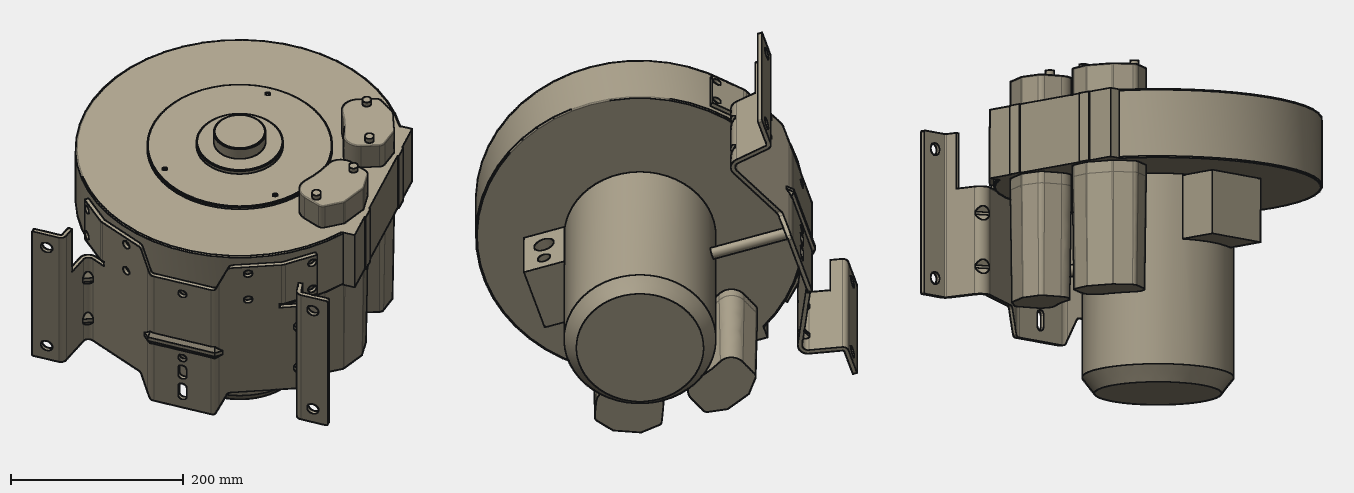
import cadquery as cq
import math


motor_radius = 88.0
motor_base_radius = 73.5
motor_cone_height = 18.5
drum_radius = 190.0
drum_bottom = 242.5
drum_top = 323.5
drum_edge_round = 1.5
cover_radius = 107.3
cover_top = 327.5
hub_radius = 50.3
hub_top = 333.0
knob_radius = 30.0
knob_top = 348.8
turned_edge_break = 1.0
cover_hole_circle = 96.0
cover_hole_radius = 2.8
cover_hole_depth = 2.0
cover_hole_angles = (90, 225, 315)

port_block_end = 176.5
port_block_width = 197.0
port_pad_width = 15.5
port_pad_thickness = 1.5
port_pad_offset = 56.5

silencer_angle = 22.5
silencer_width = 81.5
silencer_waist_radius = 120.7
silencer_corner_radius = 19.0
silencer_back = 178.0
silencer_back_width = 33.3
silencer_shoulder = 164.0
silencer_shoulder_round = 8.0
silencer_back_round = 3.0
silencer_top = 357.0
silencer_top_round = 1.0
neck_height = 13.0
silencer_bottom = 97.5
silencer_draft = 0.8
bolt_circle = 152.0
bolt_angle = 12.1
bolt_radius = 5.0
bolt_top = 363.5

box_length = 79.0
box_inner_y = 79.5
box_outer_y = 128.3
box_bottom = 166.3
box_top = 241.0
entry_depth = 16.0
entry_point_angle = 118
large_entry_radius = 12.0
large_entry_z = 214.5
small_entry_radius = 7.5
small_entry_z = 185.5
standoff_radius = 6.7
standoff_z = 162.7

sheet = 5.0
arm_angle = 25.0
tab_angle = 44.0
leg_angle = -78.5
tongue_distance = 191.5
leg_distance = -104.0
foot_face_y = -206.0
foot_end_x = 181.7
tongue_bend_radius = 16.2
hump_bend_radius = 6.7
tab_bend_radius = 9.5
foot_bend_radius = 2.0
tab_end = 10.3

arm_bottom = 120.0
arm_top = 312.0
tongue_drop = 33.5
tongue_corner_x = 39.5
arm_corner_x = 54.0
tongue_corner_round = 4.8
foot_corner_round = 2.0

relief_bottom = 246.2
tab_bottom = 251.8
relief_start_x = 107.5
relief_leg_shift = 210.5

fixing_hole_radius = 5.0
fixing_hole_heights = (261.5, 301.5)
arm_hole_shift = -8.5
tab_hole_shift = 4.0
foot_hole_radius = 7.0
foot_hole_x = 163.5
foot_hole_heights = (140.5, 292.0)
tongue_slots = ((99.0, 123.0), (130.5, 151.2))

bead_crest_width = 5.5
bead_spread = 1.8
rib_z = 182.5
rib_height = 3.0
rib_crest_half_length = 41.0
rib_end_slope = 45
rib_embed = 4.5
dimple_height = 3.75
dimple_half_length = 8.0
dimple_heights = (152.0, 215.0)
groove_crest_width = 3.0


def disc(radius, bottom, top):
    return cq.Workplane("XY").workplane(offset=bottom).circle(radius).extrude(top - bottom)


def block(x_min, x_max, y_min, y_max, z_min, z_max):
    size = (x_max - x_min, y_max - y_min, z_max - z_min)
    return cq.Workplane("XY").box(*size, centered=False).translate((x_min, y_min, z_min))


def drum():
    """Round drum cut flat on the +X side, where the port block squares it off."""
    half = port_block_width / 2
    round_part = disc(drum_radius, drum_bottom, drum_top).edges().fillet(drum_edge_round)
    limit = block(-drum_radius, port_block_end, -drum_radius, drum_radius, drum_bottom, drum_top)
    port_block = block(0, port_block_end, -half, half, drum_bottom, drum_top)
    return round_part.intersect(limit).union(port_block)


def capped_disc(radius, bottom, top):
    return disc(radius, bottom, top).faces(">Z").edges().chamfer(turned_edge_break)


def turned_parts():
    cone = cq.Solid.makeCone(motor_base_radius, motor_radius, motor_cone_height)
    body = drum().union(disc(motor_radius, motor_cone_height, drum_bottom)).union(cq.Workplane(cone))
    body = body.union(capped_disc(cover_radius, drum_top, cover_top))
    body = body.union(capped_disc(hub_radius, cover_top, hub_top))
    return body.union(capped_disc(knob_radius, hub_top, knob_top))


def port_pads():
    half = port_pad_width / 2
    pad_end = port_block_end + port_pad_thickness
    pad = block(port_block_end, pad_end, -half, half, drum_bottom, drum_top)
    return pad.translate((0, port_pad_offset, 0)).union(pad.translate((0, -port_pad_offset, 0)))


def cover_holes():
    return (
        cq.Workplane("XY")
        .workplane(offset=cover_top - cover_hole_depth)
        .pushPoints([polar(cover_hole_circle, angle) for angle in cover_hole_angles])
        .circle(cover_hole_radius)
        .extrude(cover_hole_depth)
    )


def polar(radius, angle):
    return radius * math.cos(math.radians(angle)), radius * math.sin(math.radians(angle))


def silencer_outline(z):
    """Bean shape about +X: waist centred on the drum axis, round inner corners, three-sided back."""
    half = silencer_width / 2
    corner_v = half - silencer_corner_radius
    corner_distance = silencer_waist_radius + silencer_corner_radius
    corner_direction = math.degrees(math.asin(corner_v / corner_distance))
    corner_u = polar(corner_distance, corner_direction)[0]
    waist_u, waist_v = polar(silencer_waist_radius, corner_direction)
    middle_direction = (90 + 180 + corner_direction) / 2
    middle_u, middle_v = polar(silencer_corner_radius, middle_direction)
    round_middle = (corner_u + middle_u, corner_v + middle_v)
    back_half = silencer_back_width / 2
    return (
        cq.Workplane("XY")
        .workplane(offset=z)
        .moveTo(waist_u, -waist_v)
        .threePointArc((silencer_waist_radius, 0), (waist_u, waist_v))
        .threePointArc(round_middle, (corner_u, half))
        .lineTo(silencer_shoulder, half)
        .lineTo(silencer_back, back_half)
        .lineTo(silencer_back, -back_half)
        .lineTo(silencer_shoulder, -half)
        .lineTo(corner_u, -half)
        .threePointArc((round_middle[0], -round_middle[1]), (waist_u, -waist_v))
        .close()
    )


def silencer_blank(bottom, top):
    """Straight-walled silencer shape with the edges of its back rounded."""
    blank = silencer_outline(bottom).extrude(top - bottom)
    blank = blank.edges("|Z").edges(">X").fillet(silencer_back_round)
    half = silencer_width / 2
    for v in (-half, half):
        shoulder = cq.selectors.NearestToPointSelector((silencer_shoulder, v, (bottom + top) / 2))
        blank = blank.edges("|Z").edges(shoulder).fillet(silencer_shoulder_round)
    return blank


def upper_silencer():
    body = silencer_blank(drum_top, silencer_top)
    body = body.faces(">Z").edges().fillet(silencer_top_round)
    for angle in (-bolt_angle, bolt_angle):
        u, v = polar(bolt_circle, angle)
        bolt = disc(bolt_radius, silencer_top, bolt_top)
        body = body.union(bolt.translate((u, v, 0)))
    return body


def lower_silencer():
    neck_bottom = drum_bottom - neck_height
    neck = silencer_blank(neck_bottom, drum_bottom)
    return neck.faces("<Z").wires().toPending().workplane().extrude(
        neck_bottom - silencer_bottom, taper=silencer_draft
    )


def terminal_box():
    half = box_length / 2
    box = block(-half, half, box_inner_y, box_outer_y, box_bottom, box_top)
    y = (box_inner_y + box_outer_y) / 2
    for radius, z in ((large_entry_radius, large_entry_z), (small_entry_radius, small_entry_z)):
        tip = radius / math.tan(math.radians(entry_point_angle / 2))
        inward = cq.Vector(1, 0, 0)
        bore = cq.Solid.makeCylinder(radius, entry_depth, cq.Vector(-half, y, z), inward)
        point = cq.Solid.makeCone(radius, 0, tip, cq.Vector(entry_depth - half, y, z), inward)
        box = box.cut(cq.Workplane(bore)).cut(cq.Workplane(point))
    return box


def standoff():
    """Round bar from the motor to the bracket's tongue."""
    return cq.Workplane("XZ").center(0, standoff_z).circle(standoff_radius).extrude(tongue_distance)


def make_blower():
    blower = turned_parts().union(port_pads()).cut(cover_holes())
    for silencer in (upper_silencer(), lower_silencer()):
        for angle in (silencer_angle, -silencer_angle):
            blower = blower.union(silencer.rotate((0, 0, 0), (0, 0, 1), angle))
    return blower.union(terminal_box()).union(standoff())


tongue_flat = (0.0, tongue_distance)
arm_flat = (arm_angle, drum_radius)
tab_flat = (tab_angle, drum_radius)
leg_flat = (leg_angle, leg_distance)
foot_flat = (0.0, -foot_face_y - sheet)


def face_normal(angle):
    return -math.sin(math.radians(angle)), -math.cos(math.radians(angle))


def point_on_flat(flat, depth, shift):
    """Point `depth` into the sheet, `shift` from the foot of the perpendicular, outward positive."""
    angle, distance = flat
    nx, ny = face_normal(angle)
    reach = distance + depth
    return nx * reach + ny * shift, ny * reach - nx * shift


def bend_corner(first, second, depth):
    """Sharp corner of two neighbouring flats, measured at one depth in the sheet."""
    ax, ay = face_normal(first[0])
    bx, by = face_normal(second[0])
    a = first[1] + depth
    b = second[1] + depth
    det = ax * by - ay * bx
    return (a * by - b * ay) / det, (ax * b - bx * a) / det


def bent_sheet(flats, radii, start, end, bottom, top):
    """Strip through the flats; `start` and `end` are the (near, far) points that close it."""
    bends = list(zip(flats[:-1], flats[1:], radii))
    near = [bend_corner(a, b, 0) for a, b, _ in bends]
    far = [bend_corner(a, b, sheet) for a, b, _ in bends]
    outline = [start[0], *near, end[0], end[1], *reversed(far), start[1]]
    strip = cq.Workplane("XY").workplane(offset=bottom).polyline(outline).close().extrude(top - bottom)
    middle = (bottom + top) / 2
    for (first, second, radius), near_corner, far_corner in zip(bends, near, far):
        near_is_inside = second[0] > first[0]
        near_radius = radius if near_is_inside else radius + sheet
        far_radius = radius + sheet if near_is_inside else radius
        for (x, y), corner_radius in ((near_corner, near_radius), (far_corner, far_radius)):
            edge = cq.selectors.NearestToPointSelector((x, y, middle))
            strip = strip.edges("|Z").edges(edge).fillet(corner_radius)
    return strip


def front_outline():
    """Height limits of the sheet along X: the tongue sits lower than the arms."""
    tongue_top = arm_top - tongue_drop
    tongue_bottom = arm_bottom - tongue_drop
    outline = [
        (0, tongue_top),
        (-tongue_corner_x, tongue_top),
        (-arm_corner_x, arm_top),
        (-foot_end_x, arm_top),
        (-foot_end_x, arm_bottom),
        (-arm_corner_x, arm_bottom),
        (-tongue_corner_x, tongue_bottom),
        (0, tongue_bottom),
    ]
    prism = cq.Workplane("XZ").polyline(outline).close().extrude(-foot_face_y + sheet)
    prism = prism.edges("|Y").edges("<X").fillet(foot_corner_round)
    mid_y = (foot_face_y - sheet) / 2
    for x, z in (outline[1], outline[2], outline[5], outline[6]):
        corner = cq.selectors.NearestToPointSelector((x, mid_y, z))
        prism = prism.edges("|Y").edges(corner).fillet(tongue_corner_round)
    return prism


def bead(half_length, crest_width, depth):
    """Ridge along X with its crest on y = 0 and spreading sides that reach down to `depth`."""
    crest = crest_width / 2
    base = crest + bead_spread * depth
    return (
        cq.Workplane("YZ")
        .polyline([(0, -crest), (0, crest), (depth, base), (depth, -base)])
        .close()
        .extrude(half_length, both=True)
    )


def hump_dimple(z):
    """Groove pressed into the top of the hump and the bead it raises on the underside."""
    bisector = (arm_angle + leg_angle) / 2
    nx, ny = face_normal(bisector)
    half_opening = math.radians(90 - (arm_angle - leg_angle) / 2)
    x, y = bend_corner(arm_flat, leg_flat, sheet)
    crest_reach = hump_bend_radius / math.sin(half_opening) - hump_bend_radius + dimple_height
    crest = (x + nx * crest_reach, y + ny * crest_reach, z)
    bump = bead(dimple_half_length, bead_crest_width, dimple_height)
    bump = bump.rotate((0, 0, 0), (0, 0, 1), -bisector).translate(crest)
    groove = bead(2 * dimple_half_length, groove_crest_width, 2 * dimple_height)
    groove = groove.rotate((0, 0, 0), (0, 0, 1), -bisector).translate(crest)
    return groove.translate((-nx * sheet, -ny * sheet, 0)), bump


def hump_relief():
    """Upper stretch of the hump that is cut away beside the tab, square across the leg."""
    leg_near = point_on_flat(leg_flat, -sheet, relief_leg_shift)
    leg_far = point_on_flat(leg_flat, 2 * sheet, relief_leg_shift)
    outline = [leg_near, leg_far, (-relief_start_x, leg_far[1]), (-relief_start_x, 0), (leg_near[0], 0)]
    plane = cq.Workplane("XY").workplane(offset=relief_bottom)
    return plane.polyline(outline).close().extrude(arm_top - relief_bottom)


def make_half():
    fold = bent_sheet(
        (tongue_flat, arm_flat, leg_flat, foot_flat),
        (tongue_bend_radius, hump_bend_radius, foot_bend_radius),
        ((0, -tongue_distance), (0, -tongue_distance - sheet)),
        ((-foot_end_x, foot_face_y + sheet), (-foot_end_x, foot_face_y)),
        arm_bottom - tongue_drop,
        arm_top,
    )
    half = fold.intersect(front_outline()).cut(hump_relief())
    tab = bent_sheet(
        (arm_flat, tab_flat),
        (tab_bend_radius,),
        (point_on_flat(arm_flat, 0, 0), point_on_flat(arm_flat, sheet, 0)),
        (point_on_flat(tab_flat, 0, tab_end), point_on_flat(tab_flat, sheet, tab_end)),
        tab_bottom,
        arm_top,
    )
    half = half.union(tab)
    for z in dimple_heights:
        groove, bump = hump_dimple(z)
        half = half.union(bump).cut(groove)
    return half.cut(half_holes())


def hole_through(flat, shift, z, radius):
    x, y = point_on_flat(flat, -sheet, shift)
    nx, ny = face_normal(flat[0])
    return cq.Workplane(
        cq.Solid.makeCylinder(radius, 3 * sheet, cq.Vector(x, y, z), cq.Vector(nx, ny, 0))
    )


def half_holes():
    holes = cq.Workplane("XY")
    for z in fixing_hole_heights:
        holes = holes.add(hole_through(arm_flat, arm_hole_shift, z, fixing_hole_radius))
        holes = holes.add(hole_through(tab_flat, tab_hole_shift, z, fixing_hole_radius))
    for z in foot_hole_heights:
        holes = holes.add(hole_through(foot_flat, foot_hole_x, z, foot_hole_radius))
    return holes.combine()


def tongue_rib():
    """Ridge across the tongue whose crest slopes down onto the arm at each end."""
    crest_y = -tongue_distance - sheet - rib_height
    rib = bead(2 * rib_crest_half_length, bead_crest_width, rib_height + rib_embed)
    rib = rib.translate((0, crest_y, rib_z))
    for side in (-1, 1):
        end = bead(3 * rib_crest_half_length, bead_crest_width, 2 * rib_crest_half_length)
        end = end.rotate((0, 0, 0), (0, 0, 1), side * rib_end_slope)
        rib = rib.intersect(end.translate((side * rib_crest_half_length, crest_y, rib_z)))
    return rib


def tongue_slot(bottom, top):
    return (
        cq.Workplane("XZ", origin=(0, -tongue_distance + sheet, (bottom + top) / 2))
        .slot2D(top - bottom, 2 * fixing_hole_radius, 90)
        .extrude(3 * sheet)
    )


def make_bracket():
    half = make_half()
    bracket = half.union(half.mirror("YZ")).union(tongue_rib())
    for z in (fixing_hole_heights[0], standoff_z):
        bracket = bracket.cut(hole_through(tongue_flat, 0, z, fixing_hole_radius))
    for bottom, top in tongue_slots:
        bracket = bracket.cut(tongue_slot(bottom, top))
    return bracket


blower = make_blower()
bracket = make_bracket()
result = cq.Compound.makeCompound([*blower.vals(), *bracket.vals()])